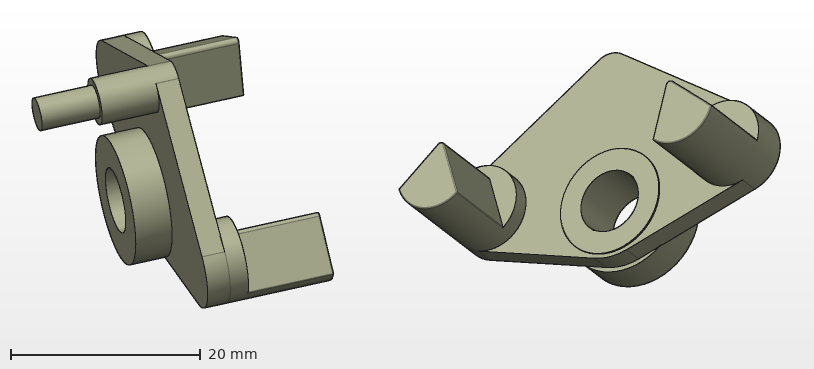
import cadquery as cq
import math

plate_thickness = 2.5
plate_hub_radius = 6.5

hub_radius = 7.0
hub_front = 4.0
bore_radius = 3.5
collar_radius = 6.02
collar_height = 0.2

pin_height = 15.0
pin_boss_radius = 2.5
pin_boss_front = 6.3
pin_radius = 1.78
pin_length = 6.4

overall_width = 38.6
lobe_radius = 4.48
lobe_height = 2.62
lobe_depth = 4.5

post_length = 9.5
post_apex_x = 1.05
post_apex_z = 3.35
outer_flat_slope = 40.5
inner_flat_slope = 75.0
ridge_radius = 0.45
post_edge_radius = 0.1

lobe_offset = overall_width / 2 - lobe_radius


def sketch_plane(y, x=0, z=0):
    """XZ workplane at the given Y, centred on (x, z)."""
    return cq.Workplane("XZ", origin=(x, y, z))


def cylinder(x, z, radius, y_front, length):
    """Cylinder running from y_front toward +Y."""
    return sketch_plane(y_front, x, z).circle(radius).extrude(-length)


def on_circle(circle, angle):
    x, z, radius = circle
    return (x + radius * math.cos(angle), z + radius * math.sin(angle))


def tangent_angle(first, second):
    """Direction of the outer normal of the tangent joining two circles, counter-clockwise."""
    dx = second[0] - first[0]
    dz = second[1] - first[1]
    return math.atan2(dz, dx) - math.acos((first[2] - second[2]) / math.hypot(dx, dz))


def make_plate():
    """Four corner discs joined by a flat polygon whose outer sides are their common tangents."""
    corners = [
        (0, 0, plate_hub_radius),
        (lobe_offset, lobe_height, lobe_radius),
        (0, pin_height, pin_boss_radius),
        (-lobe_offset, lobe_height, lobe_radius),
    ]
    count = len(corners)
    normals = [tangent_angle(corners[i], corners[(i + 1) % count]) for i in range(count)]
    tangent_points = []
    for i, corner in enumerate(corners):
        tangent_points.append(on_circle(corner, normals[i - 1]))
        tangent_points.append(on_circle(corner, normals[i]))
    plate = sketch_plane(0).polyline(tangent_points).close().extrude(-plate_thickness)
    for x, z, radius in corners:
        plate = plate.union(cylinder(x, z, radius, 0, plate_thickness))
    return plate


def make_left_post():
    """Lobe cylinder trimmed by two flats that meet in a rounded ridge."""
    reach = 4 * lobe_radius
    outer = math.radians(outer_flat_slope)
    inner = math.radians(inner_flat_slope)
    apex = (post_apex_x, post_apex_z)
    outer_end = (apex[0] - reach * math.cos(outer), apex[1] - reach * math.sin(outer))
    inner_end = (apex[0] + reach * math.cos(inner), apex[1] - reach * math.sin(inner))
    wedge = (
        sketch_plane(lobe_depth, -lobe_offset, lobe_height)
        .polyline([apex, outer_end, inner_end])
        .close()
        .extrude(-post_length)
        .edges("|Y")
        .edges(">Z")
        .fillet(ridge_radius)
    )
    lobe = cylinder(-lobe_offset, lobe_height, lobe_radius, lobe_depth, post_length)
    post = lobe.intersect(wedge)
    post = post.edges("|Y").edges("<X or >X").fillet(post_edge_radius)
    return post.faces(">Y").edges().fillet(post_edge_radius)


def make_left_arm():
    lobe = cylinder(-lobe_offset, lobe_height, lobe_radius, plate_thickness, lobe_depth - plate_thickness)
    return lobe.union(make_left_post())


def make_hub():
    return cylinder(0, 0, hub_radius, -hub_front, hub_front)


def make_collar():
    """Low ring on the rear face of the plate."""
    return cylinder(0, 0, collar_radius, plate_thickness, collar_height)


def make_pin():
    boss = cylinder(0, pin_height, pin_boss_radius, -pin_boss_front, pin_boss_front)
    pin = cylinder(0, pin_height, pin_radius, -pin_boss_front - pin_length, pin_length)
    return boss.union(pin)


left_arm = make_left_arm()
bore = cylinder(0, 0, bore_radius, -hub_front, hub_front + plate_thickness + collar_height)

result = (
    make_plate()
    .union(make_hub())
    .union(make_collar())
    .union(make_pin())
    .union(left_arm)
    .union(left_arm.mirror("YZ"))
    .cut(bore)
)